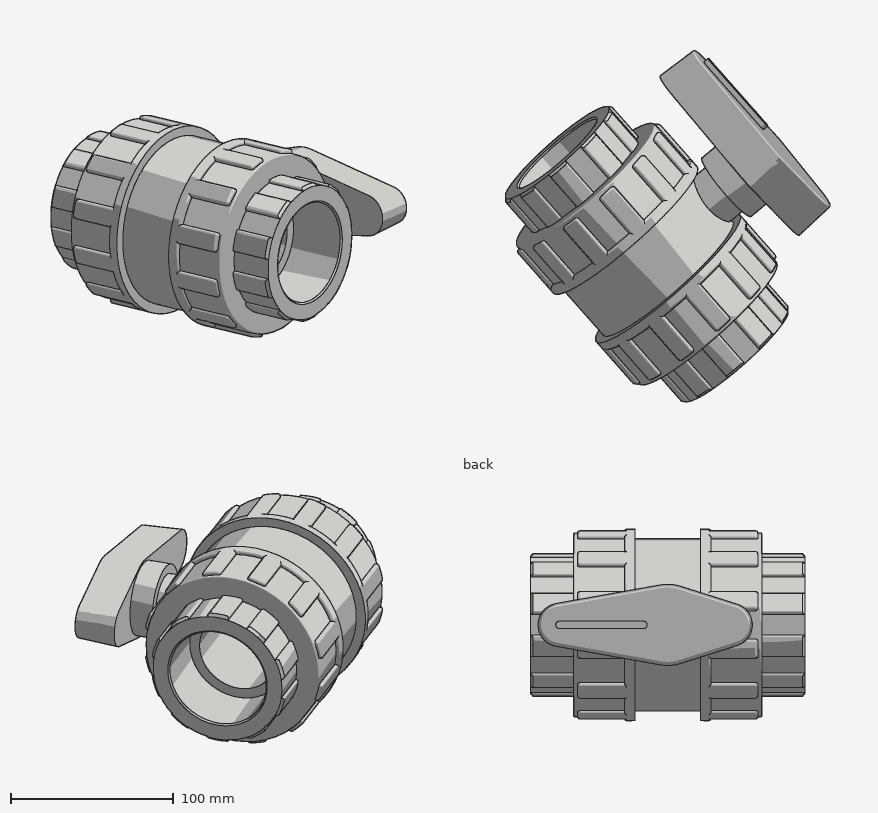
import cadquery as cq
import math

length = 169.0
through_bore_diameter = 50.4

body_diameter = 106.1

nut_inner_face = 20.1
nut_outer_face = 58.0
nut_diameter = 113.2
nut_grip_diameter = 118.0
nut_band_crest_width = 4.7
nut_edge_radius = 1.0
nut_rib_count = 12
nut_rib_width = 12.2
nut_rib_end = 55.6
nut_rib_rounding = 1.9

connector_diameter = 84.2
connector_grip_diameter = 87.9
connector_rib_count = 10
connector_rib_width = 13.7
connector_rib_edge_size = 1.7
connector_rib_overlap = 1.7
socket_diameter = 63.0
socket_depth = 37.2
socket_chamfer = 1.0

stem_diameter = 35.3
stem_top = 64.7
collar_diameter = 47.2
handle_base = 79.3
handle_top = 105.8
handle_hub_radius = 25.0
handle_end_radius = 13.4
handle_short_arm = 38.7
handle_long_arm = 66.5
handle_draft = 3.0
handle_edge_radius = 1.0

pointer_start = 12.7
pointer_end = 69.0
pointer_width = 4.5
pointer_height = 3.4


def x_cylinder(diameter, start, end):
    return cq.Workplane("YZ").workplane(offset=start).circle(diameter / 2).extrude(end - start)


def square_rib(width, start, end, crest_diameter):
    """Sharp-edged rib along X, standing toward +Z and with a crest that is round about the X axis."""
    block = (
        cq.Workplane("XY", origin=((start + end) / 2, 0, crest_diameter / 4))
        .rect(end - start, width)
        .extrude(crest_diameter / 2)
    )
    return block.intersect(x_cylinder(crest_diameter, start, end))


def add_around(part, rib, count, first_angle):
    """Join evenly spaced copies of a rib around the X axis; angles are measured from +Z."""
    for i in range(count):
        part = part.union(rib.rotate((0, 0, 0), (1, 0, 0), first_angle + i * 360 / count))
    return part


def union_nut():
    barrel = x_cylinder(nut_diameter, nut_inner_face, nut_outer_face)
    barrel = barrel.faces(">X").edges().fillet(nut_edge_radius)
    rib_start = nut_inner_face + nut_band_crest_width
    band_end = rib_start + nut_rib_rounding
    band = x_cylinder(nut_grip_diameter, nut_inner_face, band_end)
    band = band.faces(">X").edges().fillet(nut_rib_rounding)
    rib = square_rib(nut_rib_width, rib_start, nut_rib_end, nut_grip_diameter)
    crest_edges = rib.faces(">Z").edges("not <X")
    end_corners = rib.faces(">X").edges("|Z")
    rib = crest_edges.add(end_corners).fillet(nut_rib_rounding)
    half_pitch = 180 / nut_rib_count
    return add_around(barrel.union(band), rib, nut_rib_count, half_pitch)


def end_connector():
    core = x_cylinder(connector_diameter, nut_inner_face, length / 2)
    rib_start = nut_outer_face - connector_rib_overlap
    rib = square_rib(connector_rib_width, rib_start, length / 2, connector_grip_diameter)
    rib = rib.faces(">Z").edges("|X").fillet(connector_rib_edge_size)
    chamfered = x_cylinder(connector_grip_diameter, rib_start, length / 2)
    chamfered = chamfered.faces(">X").edges().chamfer(connector_rib_edge_size)
    return add_around(core, rib.intersect(chamfered), connector_rib_count, 0)


def socket():
    bore = x_cylinder(socket_diameter, length / 2 - socket_depth, length / 2)
    mouth = (
        cq.Workplane("YZ")
        .workplane(offset=length / 2)
        .circle(socket_diameter / 2 + socket_chamfer)
        .extrude(-socket_chamfer, taper=45)
    )
    return bore.union(mouth)


def both_sides(half):
    return half.union(half.mirror("YZ"))


def y_extrusion_plane(y):
    """Plane facing +Y, with its x along +X."""
    return cq.Workplane(cq.Plane(origin=(0, y, 0), xDir=(1, 0, 0), normal=(0, 1, 0)))


def handle():
    """Drafted lever whose outline wraps a hub circle and a smaller circle at each end."""
    radius_step = handle_hub_radius - handle_end_radius
    short_lean = math.asin(radius_step / handle_short_arm)
    long_lean = math.asin(radius_step / handle_long_arm)

    def rim(center, radius, angle):
        return (center + radius * math.sin(angle), radius * math.cos(angle))

    def mirrored(point):
        return (point[0], -point[1])

    short_end = rim(-handle_short_arm, handle_end_radius, -short_lean)
    hub_short = rim(0, handle_hub_radius, -short_lean)
    hub_long = rim(0, handle_hub_radius, long_lean)
    long_end = rim(handle_long_arm, handle_end_radius, long_lean)
    hub_top = rim(0, handle_hub_radius, 0)
    lever = (
        y_extrusion_plane(handle_base)
        .moveTo(*short_end)
        .lineTo(*hub_short)
        .threePointArc(hub_top, hub_long)
        .lineTo(*long_end)
        .threePointArc((handle_long_arm + handle_end_radius, 0), mirrored(long_end))
        .lineTo(*mirrored(hub_long))
        .threePointArc(mirrored(hub_top), mirrored(hub_short))
        .lineTo(*mirrored(short_end))
        .threePointArc((-handle_short_arm - handle_end_radius, 0), short_end)
        .close()
        .extrude(handle_top - handle_base, taper=handle_draft)
        .faces(">Y")
        .edges()
        .fillet(handle_edge_radius)
    )
    pointer = (
        y_extrusion_plane(handle_top)
        .center((pointer_start + pointer_end) / 2, 0)
        .slot2D(pointer_end - pointer_start, pointer_width)
        .extrude(pointer_height)
    )
    return lever.union(pointer)


def stem():
    shaft = y_extrusion_plane(0).circle(stem_diameter / 2).extrude(stem_top)
    collar = y_extrusion_plane(stem_top).circle(collar_diameter / 2).extrude(handle_base - stem_top)
    return shaft.union(collar)


body = x_cylinder(body_diameter, -nut_inner_face, nut_inner_face)
ends = both_sides(union_nut().union(end_connector()))
result = body.union(ends).union(stem()).union(handle())
result = result.cut(x_cylinder(through_bore_diameter, -length / 2, length / 2))
result = result.cut(both_sides(socket()))